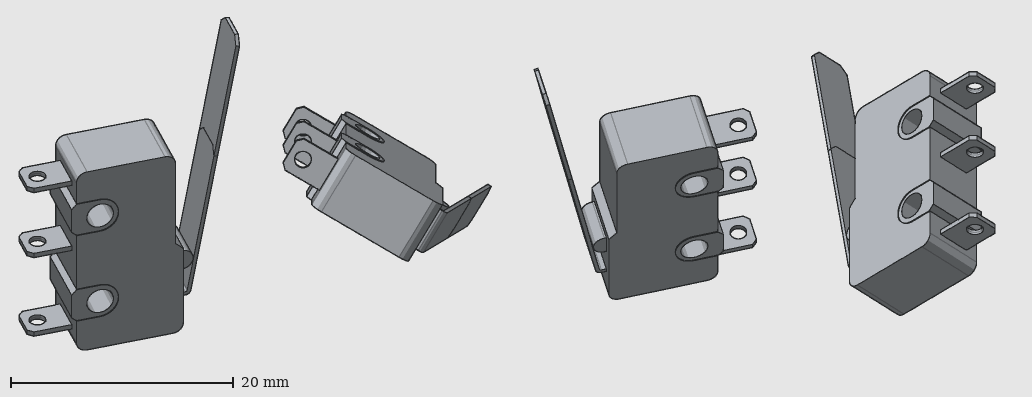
import cadquery as cq
import math


TOTAL_HEIGHT = 30.63
HOUSING_WIDTH = 6.0
HOUSING_HEIGHT = 19.8
LOWER_DEPTH = 10.1
UPPER_DEPTH = 9.37
STEP_TOP_Z = 9.92
STEP_BOTTOM_Z = STEP_TOP_Z - (LOWER_DEPTH - UPPER_DEPTH)
CORNER_RADIUS = 1.0

BOSS_WIDTH = 6.2
BOSS_RADIUS = 1.75
BOSS_OVERHANG = 0.5
MOUNT_HOLE_DIAMETER = 2.5
MOUNT_Y = 2.2
LOWER_MOUNT_Z = 5.25
MOUNT_PITCH = 9.5
MOUNT_HEIGHTS = (LOWER_MOUNT_Z, LOWER_MOUNT_Z + MOUNT_PITCH)

TERMINAL_WIDTH = 3.3
TERMINAL_THICKNESS = 0.5
TERMINAL_LENGTH = 4.07
TERMINAL_CHAMFER = 0.5
TERMINAL_HOLE_DIAMETER = 1.5
TERMINAL_HOLE_Y = -2.7
TERMINAL_HEIGHTS = (1.87, 10.6, 17.83)

LEVER_WIDTH = 4.23
LEVER_THICKNESS = 0.37
LEVER_ANGLE = math.radians(10.0)
LEVER_CORNER_Y = 11.03
LEVER_CORNER_Z = 3.3
BEND_OUTER_RADIUS = 0.55
BEND_INNER_RADIUS = BEND_OUTER_RADIUS - LEVER_THICKNESS
LEVER_LENGTH = 15.75
END_CHAMFER = 0.77
LEAN = math.sin(LEVER_ANGLE)
RISE = math.cos(LEVER_ANGLE)
FULL_LENGTH = (TOTAL_HEIGHT - LEVER_CORNER_Z - LEVER_THICKNESS * LEAN) / RISE
BLADE_PLANE = cq.Plane(
    origin=(0, LEVER_CORNER_Y, LEVER_CORNER_Z),
    xDir=(1, 0, 0),
    normal=(0, -RISE, LEAN),
)

PLUNGER_RADIUS = 1.0
PLUNGER_Y = 10.3
PLUNGER_Z = 7.3


def side_profile():
    """YZ sketch plane at X = 0, ready for an outline extruded along X."""
    return cq.Workplane("YZ")


def make_case():
    """Stepped block with rounded outer corners."""
    return (
        side_profile()
        .polyline([
            (0, 0),
            (LOWER_DEPTH, 0),
            (LOWER_DEPTH, STEP_BOTTOM_Z),
            (UPPER_DEPTH, STEP_TOP_Z),
            (UPPER_DEPTH, HOUSING_HEIGHT),
            (0, HOUSING_HEIGHT),
        ])
        .close()
        .extrude(HOUSING_WIDTH / 2, both=True)
        .edges("|X and (<Z or >Z)")
        .fillet(CORNER_RADIUS)
    )


def make_boss(z):
    """Round-ended boss, with a chamfered lip beyond the terminal face."""
    lip_half_height = BOSS_RADIUS - BOSS_OVERHANG
    return (
        side_profile()
        .moveTo(MOUNT_Y, z + BOSS_RADIUS)
        .threePointArc((MOUNT_Y + BOSS_RADIUS, z), (MOUNT_Y, z - BOSS_RADIUS))
        .lineTo(0, z - BOSS_RADIUS)
        .lineTo(-BOSS_OVERHANG, z - lip_half_height)
        .lineTo(-BOSS_OVERHANG, z + lip_half_height)
        .lineTo(0, z + BOSS_RADIUS)
        .close()
        .extrude(BOSS_WIDTH / 2, both=True)
    )


def make_terminal(z):
    """Flat blade with two clipped corners and a hole through it."""
    blade = (
        cq.Workplane("XY", origin=(0, -TERMINAL_LENGTH / 2, z))
        .box(TERMINAL_WIDTH, TERMINAL_LENGTH, TERMINAL_THICKNESS)
        .edges("|Z and <Y")
        .chamfer(TERMINAL_CHAMFER)
    )
    hole = (
        cq.Workplane("XY", origin=(0, TERMINAL_HOLE_Y, z))
        .circle(TERMINAL_HOLE_DIAMETER / 2)
        .extrude(TERMINAL_THICKNESS, both=True)
    )
    return blade.cut(hole)


def make_plunger():
    """Round-nosed button that stands out of the case under the lever."""
    return (
        side_profile()
        .moveTo(LOWER_DEPTH, PLUNGER_Z - PLUNGER_RADIUS)
        .lineTo(PLUNGER_Y, PLUNGER_Z - PLUNGER_RADIUS)
        .threePointArc(
            (PLUNGER_Y + PLUNGER_RADIUS, PLUNGER_Z),
            (PLUNGER_Y, PLUNGER_Z + PLUNGER_RADIUS),
        )
        .lineTo(LOWER_DEPTH, PLUNGER_Z + PLUNGER_RADIUS)
        .close()
        .extrude(LEVER_WIDTH / 2, both=True)
    )


def make_housing():
    """Case with its bosses, mounting holes, terminals and plunger."""
    housing = make_case().union(make_plunger())
    for z in MOUNT_HEIGHTS:
        housing = housing.union(make_boss(z))
    for z in MOUNT_HEIGHTS:
        hole = (
            side_profile()
            .center(MOUNT_Y, z)
            .circle(MOUNT_HOLE_DIAMETER / 2)
            .extrude(BOSS_WIDTH, both=True)
        )
        housing = housing.cut(hole)
    for z in TERMINAL_HEIGHTS:
        housing = housing.union(make_terminal(z))
    return housing


def make_blade(length):
    """Leaning flat strip from the lever's outer corner, with a clipped end."""
    half_width = LEVER_WIDTH / 2
    clipped_half_width = half_width - END_CHAMFER
    return (
        cq.Workplane(BLADE_PLANE)
        .polyline([
            (-half_width, 0),
            (half_width, 0),
            (half_width, length - END_CHAMFER),
            (clipped_half_width, length),
            (-clipped_half_width, length),
            (-half_width, length - END_CHAMFER),
        ])
        .close()
        .extrude(LEVER_THICKNESS)
    )


def make_foot():
    """Rounded bend from the blade to the face of the case."""
    centre_z = LEVER_CORNER_Z + BEND_OUTER_RADIUS
    centre_y = LEVER_CORNER_Y + (BEND_OUTER_RADIUS * LEAN - BEND_OUTER_RADIUS) / RISE
    middle_angle = (LEVER_ANGLE + math.pi / 2) / 2

    def bend_point(radius, angle):
        return (centre_y + radius * math.cos(angle), centre_z - radius * math.sin(angle))

    return (
        side_profile()
        .moveTo(LOWER_DEPTH, LEVER_CORNER_Z)
        .lineTo(centre_y, LEVER_CORNER_Z)
        .threePointArc(
            bend_point(BEND_OUTER_RADIUS, middle_angle),
            bend_point(BEND_OUTER_RADIUS, LEVER_ANGLE),
        )
        .lineTo(*bend_point(BEND_INNER_RADIUS, LEVER_ANGLE))
        .threePointArc(
            bend_point(BEND_INNER_RADIUS, middle_angle),
            (centre_y, LEVER_CORNER_Z + LEVER_THICKNESS),
        )
        .lineTo(LOWER_DEPTH, LEVER_CORNER_Z + LEVER_THICKNESS)
        .close()
        .extrude(LEVER_WIDTH / 2, both=True)
    )


def make_lever():
    """Short lever: foot and bend, then the blade from the end of the bend."""
    bend_setback = BEND_OUTER_RADIUS * math.tan((math.pi / 2 - LEVER_ANGLE) / 2)
    corner_block = (
        cq.Workplane(BLADE_PLANE)
        .rect(2 * LEVER_WIDTH, 2 * bend_setback)
        .extrude(LEVER_THICKNESS)
    )
    return make_blade(LEVER_LENGTH).cut(corner_block).union(make_foot())


def make_extension():
    """Rest of the long blade, fitted around the short lever's clipped end."""
    return make_blade(FULL_LENGTH).cut(make_blade(LEVER_LENGTH))


housing = make_housing()
lever = make_lever()
extension = make_extension()

result = cq.Compound.makeCompound([housing.val(), lever.val(), extension.val()])